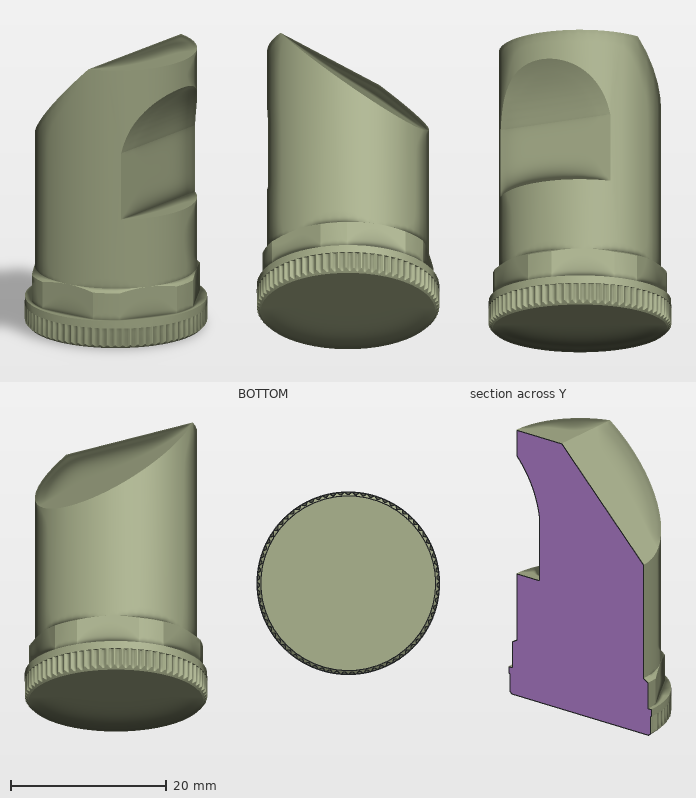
import math

import cadquery as cq

knurl_top = 2.75
flange_thickness = 1.0
hex_height = 4.0
flange_top = knurl_top + flange_thickness
hex_top = flange_top + hex_height
total_height = 37.0

rim_diameter = 23.5
body_diameter = 20.9
hex_sides = 6
hex_across_flats = body_diameter
hex_corner_diameter = 22.4

hex_chamfer_angle = 30.0

groove_count = 75
first_groove_angle = -90.0
groove_width = 0.86
groove_angle = 90.0
groove_root_radius = 0.25
rim_chamfer = 0.5

top_edge_x = 3.0
slope_angle = 45.0

notch_floor_z = 17.0
notch_wall_x = 6.75
notch_arc_start_z = 25.9
notch_arc_end_z = 33.4
notch_arc_radius = 14.0

rim_radius = rim_diameter / 2
body_radius = body_diameter / 2


def cylinder(diameter, bottom, top):
    return cq.Workplane("XY").workplane(offset=bottom).circle(diameter / 2).extrude(top - bottom)


def rim_point(radius, angle, sideways=0.0):
    """Point at a radius along a direction in degrees, moved sideways at right angles to it."""
    direction = math.radians(angle)
    x = radius * math.cos(direction) - sideways * math.sin(direction)
    y = radius * math.sin(direction) + sideways * math.cos(direction)
    return (x, y)


def make_knurled_rim():
    """Disc with axial round-bottomed V grooves, one facing -Y, and a chamfered lower edge."""
    pitch_angle = 360 / groove_count
    flank_angle = math.radians(groove_angle / 2)
    mouth_half_width = groove_width / 2
    mouth_radius = math.sqrt(rim_radius**2 - mouth_half_width**2)
    apex_radius = mouth_radius - mouth_half_width / math.tan(flank_angle)
    root_centre_radius = apex_radius + groove_root_radius / math.sin(flank_angle)
    root_half_width = groove_root_radius * math.cos(flank_angle)
    tangent_radius = root_centre_radius - groove_root_radius * math.sin(flank_angle)
    floor_radius = root_centre_radius - groove_root_radius

    profile = cq.Workplane("XY").moveTo(*rim_point(mouth_radius, first_groove_angle, -mouth_half_width))
    for index in range(groove_count):
        angle = first_groove_angle + index * pitch_angle
        profile = (
            profile.lineTo(*rim_point(tangent_radius, angle, -root_half_width))
            .threePointArc(
                rim_point(floor_radius, angle),
                rim_point(tangent_radius, angle, root_half_width),
            )
            .lineTo(*rim_point(mouth_radius, angle, mouth_half_width))
            .threePointArc(
                rim_point(rim_radius, angle + pitch_angle / 2),
                rim_point(mouth_radius, angle + pitch_angle, -mouth_half_width),
            )
        )
    chamfered_disc = cylinder(rim_diameter, 0, knurl_top).faces("<Z").chamfer(rim_chamfer)
    return profile.close().extrude(knurl_top).intersect(chamfered_disc)


def make_hex_collar():
    """Hexagon with two flats facing +Y and -Y, rounded corners and a conical top chamfer."""
    corner_radius = hex_corner_diameter / 2
    sharp_corner_diameter = hex_across_flats / math.cos(math.pi / hex_sides)
    prism = (
        cq.Workplane("XY")
        .workplane(offset=flange_top)
        .polygon(hex_sides, sharp_corner_diameter)
        .extrude(hex_height)
    )
    chamfer_drop = (corner_radius - body_radius) * math.tan(math.radians(hex_chamfer_angle))
    turned_blank = (
        cq.Workplane("XZ")
        .moveTo(0, flange_top)
        .lineTo(corner_radius, flange_top)
        .lineTo(corner_radius, hex_top - chamfer_drop)
        .lineTo(body_radius, hex_top)
        .lineTo(0, hex_top)
        .close()
        .revolve(360, (0, 0, 0), (0, 1, 0))
    )
    return prism.intersect(turned_blank)


def cut_along_y(outline):
    """Extrude an XZ outline across the full width of the body."""
    return outline.extrude(rim_radius, both=True)


def make_slope_cutter():
    """Wedge that removes the -X side of the top, below the straight top edge."""
    run = top_edge_x + rim_radius
    drop = run * math.tan(math.radians(slope_angle))
    outline = (
        cq.Workplane("XZ")
        .moveTo(top_edge_x, total_height)
        .lineTo(-rim_radius, total_height)
        .lineTo(-rim_radius, total_height - drop)
        .close()
    )
    return cut_along_y(outline)


def make_notch_cutter():
    """Notch with a flat floor, an upright wall and an arc curving out to the body surface."""
    outline = (
        cq.Workplane("XZ")
        .moveTo(rim_radius, notch_floor_z)
        .lineTo(notch_wall_x, notch_floor_z)
        .lineTo(notch_wall_x, notch_arc_start_z)
        .radiusArc((body_radius, notch_arc_end_z), notch_arc_radius)
        .lineTo(rim_radius, notch_arc_end_z)
        .close()
    )
    return cut_along_y(outline)


body = cylinder(body_diameter, flange_top, total_height)
body = body.cut(make_slope_cutter()).cut(make_notch_cutter())
flange = cylinder(rim_diameter, knurl_top, flange_top)

result = make_knurled_rim().union(flange).union(make_hex_collar()).union(body)